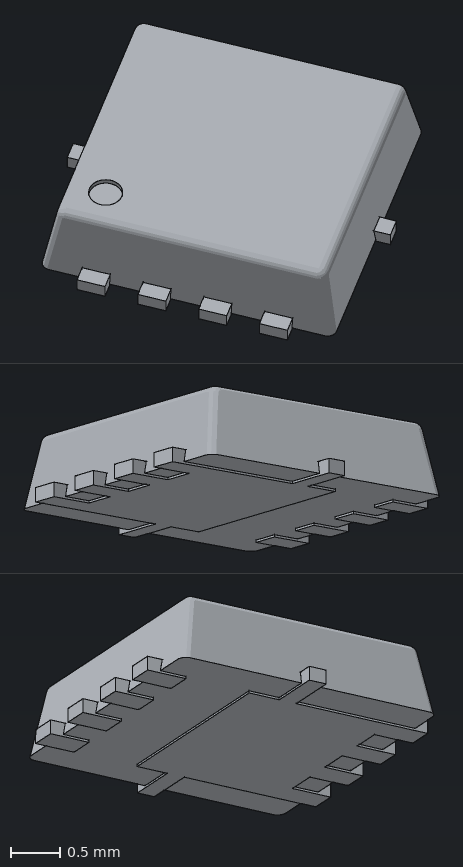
import cadquery as cq

span_x = 3.45
span_y = 3.3

housing_length = 3.14
housing_width = 3.0
housing_base_z = 0.025
housing_top_z = 0.8
draft_angle = 10.0
edge_radius = 0.1

mark_diameter = 0.345
mark_depth = 0.052
mark_x = -1.03
mark_y = -0.98

metal_thickness = 0.152
lead_count = 4
lead_pitch = 0.65
lead_width = 0.3
lead_length = 0.452
tab_width = 0.2
pad_front_y = -0.455

lead_row_half = (lead_count - 1) * lead_pitch / 2
lead_xs = [i * lead_pitch - lead_row_half for i in range(lead_count)]
lead_inner_y = span_y / 2 - lead_length
pad_length = 2 * lead_row_half + lead_width
pad_width = lead_inner_y - pad_front_y


def metal_bar(size_x, size_y, center_x, center_y):
    """Flat bar of the common metal thickness, standing on Z = 0."""
    bar = cq.Workplane("XY").box(size_x, size_y, metal_thickness, centered=(True, True, False))
    return bar.translate((center_x, center_y, 0))


def make_lead(x, side):
    """One lead on the +Y (side = 1) or -Y (side = -1) edge, running in under the housing wall."""
    return metal_bar(lead_width, lead_length, x, side * (span_y - lead_length) / 2)


def make_drain():
    """Drain pad in one piece with the +Y leads and the two side tabs."""
    pad = metal_bar(pad_length, pad_width, 0, (pad_front_y + lead_inner_y) / 2)
    drain = pad.union(metal_bar(span_x, tab_width, 0, 0))
    for x in lead_xs:
        drain = drain.union(make_lead(x, 1))
    return drain


def make_housing(metal_bodies):
    """Drafted block with rounded edges, a pin-1 mark and pockets that fit the metal."""
    block = (
        cq.Workplane("XY", origin=(0, 0, housing_base_z))
        .rect(housing_length, housing_width)
        .extrude(housing_top_z - housing_base_z, taper=draft_angle)
    )
    block = block.edges("not(#Z)").fillet(edge_radius)
    block = block.faces(">Z").edges().fillet(edge_radius)
    mark = (
        cq.Workplane("XY", origin=(mark_x, mark_y, housing_top_z - mark_depth))
        .circle(mark_diameter / 2)
        .extrude(mark_depth)
    )
    block = block.cut(mark)
    for metal in metal_bodies:
        block = block.cut(metal)
    return block


drain = make_drain()
leads = [make_lead(x, -1) for x in lead_xs]
housing = make_housing([drain, *leads])

result = cq.Compound.makeCompound(
    [housing.solids().val(), drain.solids().val(), *[lead.val() for lead in leads]]
)